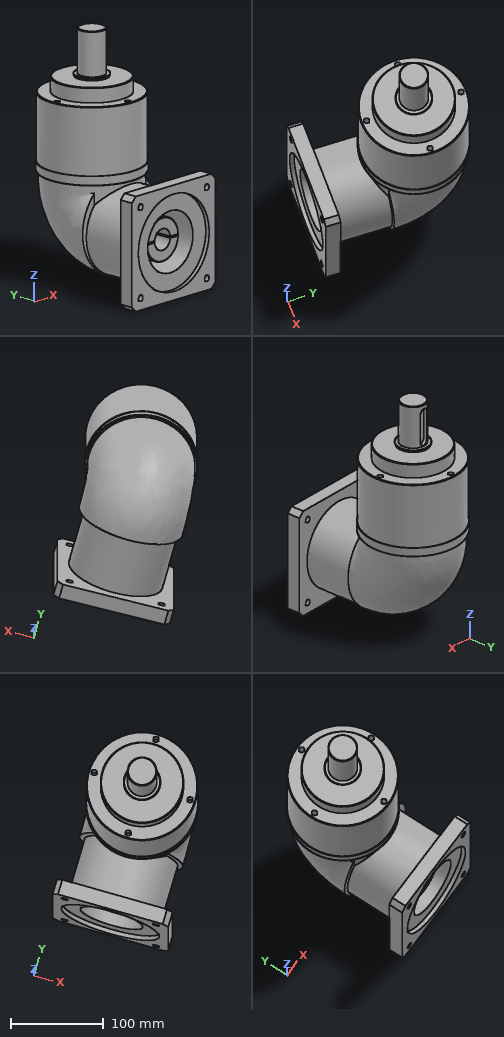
import cadquery as cq
import math


overall_height = 281.7
overall_length_y = 183.5
flange_size = 130.0

shaft_top = overall_height - flange_size / 2
collar_top = 165.4
collar_rim_thickness = 1.0
pilot_top = 162.3
body_top = 145.0
band_top = 67.3
band_bottom = 56.3
bend_height = 47.3

shaft_radius = 15.8
collar_radius = 20.0
collar_neck_radius = 19.2
pilot_radius = 44.8
body_radius = 60.0
band_radius = 60.8
neck_radius = 58.0
edge_chamfer = 0.8

keyway_width = 10.1
keyway_depth = 5.0
keyway_length = 45.0
keyway_top = 211.3

body_hole_count = 4
body_hole_circle_radius = 53.8
body_hole_radius = 3.0
body_hole_depth = 14.0
drill_point_half_angle = math.radians(59)

bend_reach = 42.3
input_radius = 52.5

flange_thickness = 17.0
flange_corner_chamfer = 6.2
flange_hole_spacing = 102.5
flange_hole_diameter = 7.0
flange_face_y = band_radius - overall_length_y
flange_back_y = flange_face_y + flange_thickness

recess_radius = 55.0
recess_depth = 5.0
bore_radius = 35.0
bore_depth = 50.7
collet_face_depth = 17.0
collet_radius = 25.0
collet_chamfer = 0.8
collet_hole_radius = 12.0
collet_slit_width = 2.0


def disc_up(radius, bottom, top):
    """Cylinder on the output axis between two heights."""
    return cq.Workplane("XY").workplane(offset=bottom).circle(radius).extrude(top - bottom)


def disc_in(radius, start_depth, end_depth):
    """Cylinder on the input axis between two depths behind the flange face."""
    plane = cq.Plane(
        origin=(0, flange_face_y + start_depth, 0), xDir=(-1, 0, 0), normal=(0, 1, 0)
    )
    return cq.Workplane(plane).circle(radius).extrude(end_depth - start_depth)


def make_output_side():
    band = disc_up(band_radius, band_bottom, band_top)
    band = band.faces("<Z").chamfer(edge_chamfer)
    body = disc_up(body_radius, band_top, body_top).faces(">Z").chamfer(edge_chamfer)
    pilot = disc_up(pilot_radius, body_top, pilot_top).faces(">Z").chamfer(edge_chamfer)
    collar_rim_bottom = collar_top - collar_rim_thickness
    collar_neck = disc_up(collar_neck_radius, pilot_top, collar_rim_bottom)
    collar_rim = disc_up(collar_radius, collar_rim_bottom, collar_top)
    shaft = disc_up(shaft_radius, collar_top, shaft_top).faces(">Z").chamfer(edge_chamfer)
    shaft = shaft.cut(make_keyway())
    return band.union(body).union(pilot).union(collar_neck).union(collar_rim).union(shaft)


def make_keyway():
    """Round-ended keyway cutter on the +Y side of the shaft."""
    return (
        cq.Workplane("XZ", origin=(0, shaft_radius, keyway_top - keyway_length / 2))
        .slot2D(keyway_length, keyway_width, 90)
        .extrude(keyway_depth)
    )


def make_body_hole():
    """Blind drilled hole with a conical bottom, cut from the top face of the body."""
    floor = body_top - body_hole_depth
    tip = floor - body_hole_radius / math.tan(drill_point_half_angle)
    return (
        cq.Workplane("XZ")
        .moveTo(0, tip)
        .lineTo(body_hole_radius, floor)
        .lineTo(body_hole_radius, body_top)
        .lineTo(0, body_top)
        .close()
        .revolve(360, (0, 0), (0, 1))
    )


def make_elbow():
    """Quarter bend: a disc, cut off at the bend axis, swung from vertical to horizontal."""
    half_chord = math.sqrt(neck_radius**2 - bend_reach**2)
    bend = (
        cq.Workplane("XY", origin=(0, 0, bend_height))
        .moveTo(half_chord, -bend_reach)
        .threePointArc((neck_radius, 0), (0, neck_radius))
        .threePointArc((-neck_radius, 0), (-half_chord, -bend_reach))
        .close()
        .revolve(90, (0, -bend_reach), (-1, -bend_reach))
    )
    bend = cq.Workplane(bend.val().toNURBS())
    neck = disc_up(neck_radius, bend_height, band_bottom)
    front_region = cq.Workplane("XY").box(
        2 * neck_radius, neck_radius, bend_height, centered=(True, False, False)
    )
    front_region = front_region.translate((0, -bend_reach - neck_radius, 0))
    front_neck = disc_up(neck_radius, 0, bend_height).intersect(front_region)
    return bend.union(neck).union(front_neck)


def make_input_side():
    tube = disc_in(input_radius, flange_thickness, -bend_reach - flange_face_y)
    flange = (
        cq.Workplane("XZ", origin=(0, flange_back_y, 0))
        .rect(flange_size, flange_size)
        .extrude(flange_thickness)
        .edges("|Y")
        .chamfer(flange_corner_chamfer)
        .faces("<Y")
        .workplane()
        .rect(flange_hole_spacing, flange_hole_spacing, forConstruction=True)
        .vertices()
        .hole(flange_hole_diameter, flange_thickness)
    )
    return tube.union(flange)


def make_collet():
    """Split clamping ring standing on the floor of the bore."""
    collet = disc_in(collet_radius, collet_face_depth, bore_depth)
    collet = collet.faces("<Y").chamfer(collet_chamfer)
    collet = collet.cut(disc_in(collet_hole_radius, collet_face_depth, bore_depth))
    collet_length = bore_depth - collet_face_depth
    slit = cq.Workplane("XY").box(2 * collet_radius, collet_length, collet_slit_width)
    slit_center_y = flange_face_y + (collet_face_depth + bore_depth) / 2
    return collet.cut(slit.translate((0, slit_center_y, 0)))


result = make_output_side().union(make_elbow()).union(make_input_side())

for index in range(body_hole_count):
    hole = make_body_hole().translate((body_hole_circle_radius, 0, 0))
    result = result.cut(hole.rotate((0, 0, 0), (0, 0, 1), index * 360 / body_hole_count))

result = result.cut(disc_in(recess_radius, 0, recess_depth))
result = result.cut(disc_in(bore_radius, recess_depth, bore_depth))
result = result.union(make_collet())